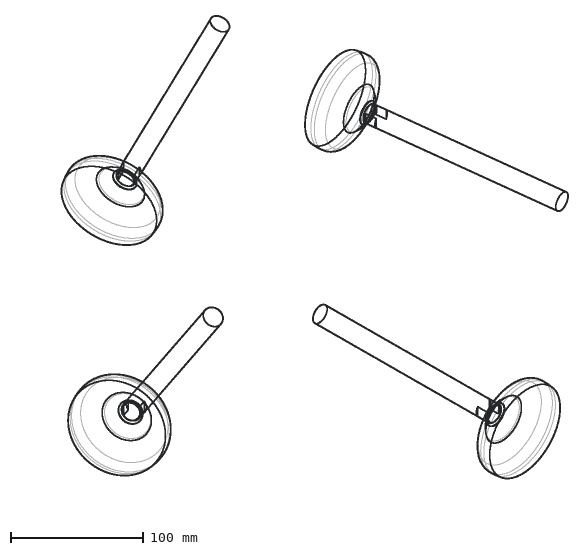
import cadquery as cq
import math


foot_radius = 40.0
bottom_draft_height = 5.75
bottom_draft_angle = 6.0
shoulder_start = 8.95
shoulder_radius = 7.5
flank_angle = 21.5
collar_base_radius = 19.9
collar_height = 1.3
collar_angle = 45.0
dome_top_radius = 9.8
dome_top_height = 30.1
rim_height = 0.5
rim_top_height = dome_top_height + rim_height
cap_rise = 0.6
foot_height = rim_top_height + cap_rise
dome_arc_radius = 20.7

overall_length = 211.5
stud_radius = 8.0
stud_chamfer = 0.8
stud_end_radius = stud_radius - stud_chamfer

flats_across = 13.0
flats_start = 33.2
flats_length = 9.6


def make_foot():
    """Solid of revolution about the Y axis."""
    bottom_radius = foot_radius - bottom_draft_height * math.tan(math.radians(bottom_draft_angle))

    slope = math.radians(flank_angle)
    shoulder_center_x = foot_radius - shoulder_radius

    def shoulder_point(angle):
        return (
            shoulder_center_x + shoulder_radius * math.cos(angle),
            shoulder_start + shoulder_radius * math.sin(angle),
        )

    shoulder_sweep = math.pi / 2 - slope
    shoulder_middle = shoulder_point(shoulder_sweep / 2)
    shoulder_end = shoulder_point(shoulder_sweep)

    flank_rise = (shoulder_end[0] - collar_base_radius) * math.tan(slope)
    collar_base_height = shoulder_end[1] + flank_rise
    collar_top_radius = collar_base_radius - collar_height / math.tan(math.radians(collar_angle))
    collar_top_height = collar_base_height + collar_height

    profile = (
        cq.Workplane("XY")
        .lineTo(bottom_radius, 0)
        .lineTo(foot_radius, bottom_draft_height)
        .lineTo(foot_radius, shoulder_start)
        .threePointArc(shoulder_middle, shoulder_end)
        .lineTo(collar_base_radius, collar_base_height)
        .lineTo(collar_top_radius, collar_top_height)
        .radiusArc((dome_top_radius, dome_top_height), -dome_arc_radius)
        .lineTo(dome_top_radius, rim_top_height)
        .lineTo(stud_end_radius, foot_height)
        .lineTo(0, foot_height)
        .close()
    )
    return profile.revolve(360, (0, 0, 0), (0, 1, 0))


def make_stud():
    """Round rod standing on the foot, with a chamfered lower end and two wrench flats."""
    rod = (
        cq.Workplane("XY")
        .moveTo(0, foot_height)
        .lineTo(stud_end_radius, foot_height)
        .lineTo(stud_radius, foot_height + stud_chamfer)
        .lineTo(stud_radius, overall_length)
        .lineTo(0, overall_length)
        .close()
        .revolve(360, (0, 0, 0), (0, 1, 0))
    )
    flat_depth = stud_radius - flats_across / 2
    for side in (-1, 1):
        flat_cut = cq.Workplane("XY").box(flat_depth, flats_length, 2 * stud_radius).translate(
            (side * (flats_across + flat_depth) / 2, flats_start + flats_length / 2, 0)
        )
        rod = rod.cut(flat_cut)
    return rod


foot = make_foot()
stud = make_stud()

result = cq.Compound.makeCompound([foot.val(), stud.val()])